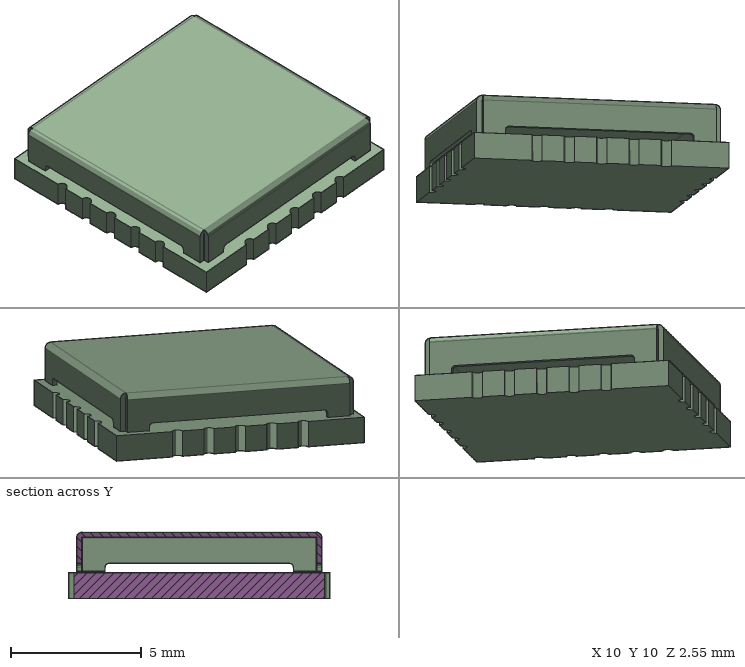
import cadquery as cq

board_side = 10.0
board_thickness = 1.0
castellation_radius = 0.2
castellation_pitch = 1.27
castellations_per_side = 5

can_length_x = 9.4
can_length_y = 9.58
can_height = 1.5
sheet_thickness = 0.2
bend_inner_radius = 0.02
bend_outer_radius = bend_inner_radius + sheet_thickness
standoff_gap = 0.05

opening_width_front = 7.2
opening_width_side = 7.4
opening_height = 0.3
opening_corner_radius = 0.15

can_bottom = board_thickness + standoff_gap
ON_BASE = (True, True, False)


def castellation_centers():
    """Points spaced evenly along the four board edges."""
    half_side = board_side / 2
    first = -castellation_pitch * (castellations_per_side - 1) / 2
    centers = []
    for index in range(castellations_per_side):
        offset = first + index * castellation_pitch
        for edge in (-half_side, half_side):
            centers.append((offset, edge))
            centers.append((edge, offset))
    return centers


def make_board():
    board = cq.Workplane("XY").box(board_side, board_side, board_thickness, centered=ON_BASE)
    grooves = (
        cq.Workplane("XY")
        .pushPoints(castellation_centers())
        .circle(castellation_radius)
        .extrude(board_thickness)
    )
    return board.cut(grooves)


def round_topped_block(length_x, length_y, height, radius):
    """A block standing on z = 0 with its four top edges rounded."""
    block = cq.Workplane("XY").box(length_x, length_y, height, centered=ON_BASE)
    return block.faces(">Z").edges().fillet(radius)


def corner_notches():
    """Square columns that separate the folded walls at the four corners."""
    notch_side = 2 * bend_outer_radius
    return (
        cq.Workplane("XY")
        .rect(can_length_x, can_length_y, forConstruction=True)
        .vertices()
        .rect(notch_side, notch_side)
        .extrude(can_height)
    )


def wall_opening(plane, width, through_length):
    """A low opening with rounded upper corners, running through both opposite walls."""
    return (
        cq.Workplane(plane)
        .rect(width, 2 * opening_height)
        .extrude(through_length / 2, both=True)
        .edges("|" + ("Y" if plane == "XZ" else "X"))
        .fillet(opening_corner_radius)
    )


def make_shield_can():
    outside = round_topped_block(can_length_x, can_length_y, can_height, bend_outer_radius)
    cavity = round_topped_block(
        can_length_x - 2 * sheet_thickness,
        can_length_y - 2 * sheet_thickness,
        can_height - sheet_thickness,
        bend_inner_radius,
    )
    can = (
        outside.cut(cavity)
        .cut(corner_notches())
        .cut(wall_opening("XZ", opening_width_front, can_length_y))
        .cut(wall_opening("YZ", opening_width_side, can_length_x))
    )
    return can.translate((0, 0, can_bottom))


board = make_board()
shield_can = make_shield_can()

result = cq.Compound.makeCompound([board.val(), shield_can.val()])